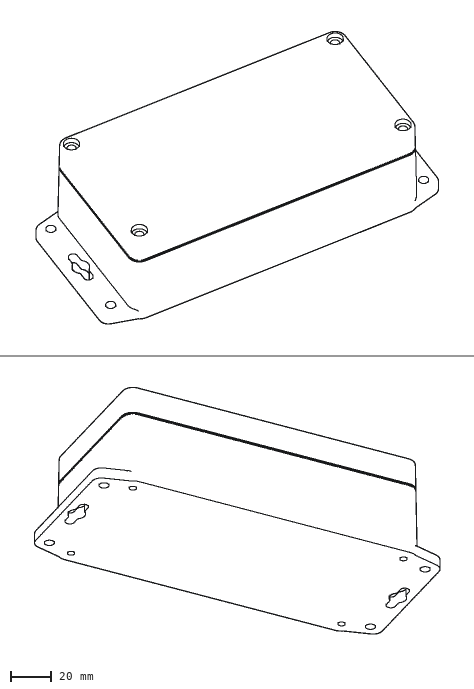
import cadquery as cq
import math

TOTAL_WIDTH = 81.5
TOTAL_LENGTH = 189.4
TOTAL_HEIGHT = 55.0

CORNER_RADIUS = 6.8
DRAFT_ANGLE = 1.0
BODY_LENGTH = 161.4
SEAM_HEIGHT = 39.8
SEAM_GROOVE_HEIGHT = 0.8
SEAM_GROOVE_DEPTH = 0.5
LID_EDGE_RADIUS = 1.48

SCREW_X = TOTAL_WIDTH / 2 - CORNER_RADIUS
SCREW_Y = BODY_LENGTH / 2 - CORNER_RADIUS
LID_HOLE_DIAMETER = 4.5
BASE_HOLE_DIAMETER = 3.6
HEAD_DIAMETER = 8.0
HEAD_DEPTH = 3.0

FLANGE_THICKNESS = 6.3
FLANGE_END_WIDTH = 69.9
FLANGE_SIDE_ANGLE = 15.0
FLANGE_CORNER_RADIUS = 5.1
FLANGE_EDGE_RADIUS = 1.05
MOUNT_Y = 87.7
MOUNT_HOLE_X = 30.0
MOUNT_HOLE_DIAMETER = 5.0
KEYHOLE_DIAMETER = 8.7
KEYHOLE_SLOT_LENGTH = 19.9
KEYHOLE_SLOT_WIDTH = 4.7
KEYHOLE_BLEND_RADIUS = 1.5

SCREW_POINTS = [(x, y) for x in (-SCREW_X, SCREW_X) for y in (-SCREW_Y, SCREW_Y)]


def drafted_block(bottom, top, step_in=0.0):
    """Slice of the drafted, round-cornered enclosure, moved inward all round by step_in."""
    inset = bottom * math.tan(math.radians(DRAFT_ANGLE)) + step_in
    return (
        cq.Workplane("XY", origin=(0, 0, bottom))
        .sketch()
        .rect(TOTAL_WIDTH - 2 * inset, BODY_LENGTH - 2 * inset)
        .vertices()
        .fillet(CORNER_RADIUS - inset)
        .finalize()
        .extrude(top - bottom, taper=DRAFT_ANGLE)
    )


def flange():
    """Tapered mounting flange on the +Y end, running inward to the screw line."""
    outer_y = TOTAL_LENGTH / 2
    outer_x = FLANGE_END_WIDTH / 2
    side_angle = math.radians(FLANGE_SIDE_ANGLE)
    side_y = SCREW_Y + CORNER_RADIUS * math.sin(side_angle)
    side_x = outer_x + (outer_y - side_y) * math.tan(side_angle)
    plate = (
        cq.Workplane("XY")
        .polyline(
            [
                (-SCREW_X, SCREW_Y),
                (-side_x, side_y),
                (-outer_x, outer_y),
                (outer_x, outer_y),
                (side_x, side_y),
                (SCREW_X, SCREW_Y),
            ]
        )
        .close()
        .extrude(FLANGE_THICKNESS)
        .edges("|Z and >Y")
        .fillet(FLANGE_CORNER_RADIUS)
        .faces(">Z")
        .edges(">Y")
        .fillet(FLANGE_EDGE_RADIUS)
    )
    return plate.cut(mounting_holes())


def mounting_holes():
    """Two round holes and a double-ended keyhole between them."""
    plane = cq.Workplane("XY", origin=(0, MOUNT_Y, 0))
    round_holes = (
        plane.pushPoints([(-MOUNT_HOLE_X, 0), (MOUNT_HOLE_X, 0)])
        .circle(MOUNT_HOLE_DIAMETER / 2)
        .extrude(FLANGE_THICKNESS)
    )
    keyhole = (
        plane.circle(KEYHOLE_DIAMETER / 2)
        .extrude(FLANGE_THICKNESS)
        .union(plane.slot2D(KEYHOLE_SLOT_LENGTH, KEYHOLE_SLOT_WIDTH).extrude(FLANGE_THICKNESS))
    )
    junctions = cq.selectors.BoxSelector(
        (-KEYHOLE_DIAMETER / 2, MOUNT_Y - KEYHOLE_DIAMETER / 2, 0),
        (KEYHOLE_DIAMETER / 2, MOUNT_Y + KEYHOLE_DIAMETER / 2, FLANGE_THICKNESS),
    )
    keyhole = keyhole.edges("|Z").edges(junctions).fillet(KEYHOLE_BLEND_RADIUS)
    return round_holes.union(keyhole)


def make_base():
    groove_bottom = SEAM_HEIGHT - SEAM_GROOVE_HEIGHT
    rim = drafted_block(groove_bottom, SEAM_HEIGHT, SEAM_GROOVE_DEPTH)
    base = drafted_block(0, groove_bottom).union(rim)
    end_flange = flange()
    for angle in (0, 180):
        base = base.union(end_flange.rotate((0, 0, 0), (0, 0, 1), angle))
    screw_holes = (
        cq.Workplane("XY").pushPoints(SCREW_POINTS).circle(BASE_HOLE_DIAMETER / 2).extrude(SEAM_HEIGHT)
    )
    return base.cut(screw_holes)


def make_lid():
    lid = drafted_block(SEAM_HEIGHT, TOTAL_HEIGHT).faces(">Z").edges().fillet(LID_EDGE_RADIUS)
    return (
        lid.faces(">Z")
        .workplane(origin=(0, 0, TOTAL_HEIGHT))
        .pushPoints(SCREW_POINTS)
        .cboreHole(LID_HOLE_DIAMETER, HEAD_DIAMETER, HEAD_DEPTH)
    )


base = make_base()
lid = make_lid()

result = cq.Compound.makeCompound([base.val(), lid.val()])